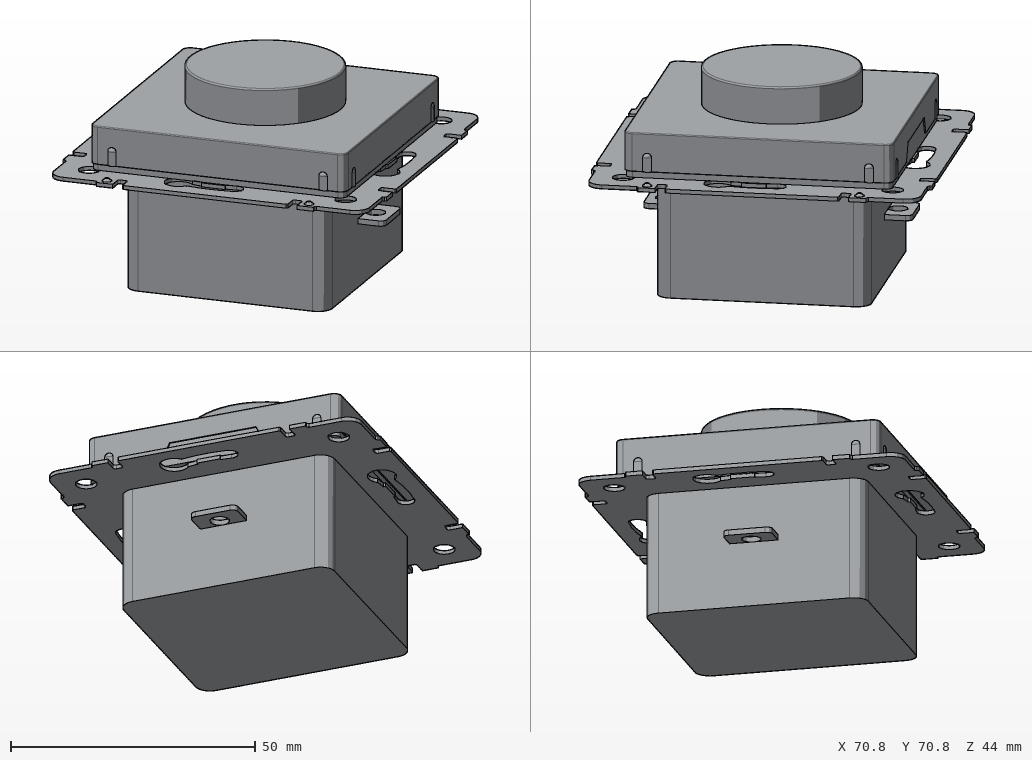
import cadquery as cq
import math

PLATE_BOTTOM = 25.7
PLATE_THICKNESS = 0.85
PLATE_TOP = PLATE_BOTTOM + PLATE_THICKNESS
COVER_BOTTOM = 27.9
COVER_TOP = 36.1
KNOB_TOP = 44.0

PLATE_HALF = 35.4
CORNER_HALF = 34.55
CORNER_RADIUS = 3.2
SHOULDER_POSITION = 24.15
SHOULDER_BEVEL = 0.4
NOTCH_POSITION = 19.1
NOTCH_WIDTH = 2.05
NOTCH_DEPTH = 3.25
NOTCH_RADIUS = 0.5
NOTCH_MOUTH_BEVEL = 0.3
CORNER_HOLE_POSITION = 28.05
CORNER_HOLE_RADIUS = 2.2

SLOT_MID_RADIUS = 29.75
SLOT_HALF_WIDTH = 1.85
SLOT_END_ANGLE = 8.2
KEYHOLE_X = 8.0
KEYHOLE_Y = 29.25
KEYHOLE_RADIUS = 3.0
STOP_OFFSET = 0.85
STOP_WIDTH = 5.2
STOP_REACH = 28.2

TIP_X = 22.1
TIP_Y = 33.55
TIP_BASE_RADIUS = 1.0
TIP_TOP_RADIUS = 0.35
TIP_HEIGHT = 0.6

COVER_WIDTH = 55.9
COVER_RADIUS = 1.8
COVER_EDGE_RADIUS = 0.2
SKIRT_INSET = 0.3
SKIRT_WIDTH = COVER_WIDTH - 2 * SKIRT_INSET
RECESS_TOP = 31.65
RECESS_BOTTOM_WIDTH = 22.95
RECESS_TOP_WIDTH = 19.1

RIB_POSITION = 23.1
RIB_WIDTH = 1.85
RIB_PROTRUSION = 0.3
RIB_SEAM = 30.95
RIB_RADIUS = ((RIB_WIDTH / 2) ** 2 + RIB_PROTRUSION ** 2) / (2 * RIB_PROTRUSION)

KNOB_RADIUS = 16.5
KNOB_EDGE_RADIUS = 0.35

BOX_X = 44.45
BOX_Y = 46.8
BOX_RADIUS = 3.2
CLAW_BOTTOM = 13.65
CLAW_THICKNESS = 1.1
CLAW_SPAN = 55.9
CLAW_WIDTH = 10.3
CLAW_RADIUS = 1.3
CLAW_HOLE_POSITION = 24.2
CLAW_HOLE_RADIUS = 2.0

QUARTER_TURNS = (0, 90, 180, 270)


def rounded_block(length, width, bottom, top, radius):
    """Upright block, centred on the Z axis, with rounded vertical edges."""
    block = cq.Workplane("XY", origin=(0, 0, bottom)).rect(length, width).extrude(top - bottom)
    return block.edges("|Z").fillet(radius)


def turned(shape, angle):
    """Shape turned about the Z axis."""
    return shape.rotate((0, 0, 0), (0, 0, 1), angle)


def plate_plane():
    return cq.Workplane("XY", origin=(0, 0, PLATE_BOTTOM))


def edge_strip():
    """Raised edge of one plate side, with bevelled shoulders."""
    foot = SHOULDER_POSITION
    crest = foot - SHOULDER_BEVEL
    bevel_top = CORNER_HALF + SHOULDER_BEVEL
    points = [
        (-crest, 0), (-crest, CORNER_HALF), (-foot, CORNER_HALF), (-crest, bevel_top), (-crest, PLATE_HALF),
        (crest, PLATE_HALF), (crest, bevel_top), (foot, CORNER_HALF), (crest, CORNER_HALF), (crest, 0),
    ]
    return plate_plane().polyline(points).close().extrude(PLATE_THICKNESS)


def edge_notch(side):
    """Notch in a plate edge; its mouth is bevelled towards the middle of the side."""
    notch = (
        plate_plane()
        .center(side * NOTCH_POSITION, PLATE_HALF)
        .rect(NOTCH_WIDTH, 2 * NOTCH_DEPTH)
        .extrude(PLATE_THICKNESS)
        .edges("|Z and <Y")
        .fillet(NOTCH_RADIUS)
    )
    wall = side * (NOTCH_POSITION - NOTCH_WIDTH / 2)
    bevel = (
        plate_plane()
        .moveTo(wall, PLATE_HALF - NOTCH_MOUTH_BEVEL)
        .lineTo(wall - side * NOTCH_MOUTH_BEVEL, PLATE_HALF)
        .lineTo(wall, PLATE_HALF)
        .close()
        .extrude(PLATE_THICKNESS)
    )
    return notch.union(bevel)


def keyhole_slot():
    """Arc slot with a small round end, a large round end and a flat stop on its inner edge."""
    start = math.radians(90 + SLOT_END_ANGLE)
    end = math.atan2(KEYHOLE_Y, KEYHOLE_X)
    middle = (start + end) / 2

    def on_arc(radius, angle):
        return radius * math.cos(angle), radius * math.sin(angle)

    outer = SLOT_MID_RADIUS + SLOT_HALF_WIDTH
    inner = SLOT_MID_RADIUS - SLOT_HALF_WIDTH
    arc = (
        plate_plane()
        .moveTo(*on_arc(outer, start))
        .threePointArc(on_arc(outer, middle), on_arc(outer, end))
        .lineTo(*on_arc(inner, end))
        .threePointArc(on_arc(inner, middle), on_arc(inner, start))
        .close()
        .extrude(PLATE_THICKNESS)
    )
    small_end = plate_plane().center(*on_arc(SLOT_MID_RADIUS, start)).circle(SLOT_HALF_WIDTH)
    large_end = plate_plane().center(KEYHOLE_X, KEYHOLE_Y).circle(KEYHOLE_RADIUS)
    stop = plate_plane().center(STOP_OFFSET, STOP_REACH / 2).rect(STOP_WIDTH, STOP_REACH)
    slot = arc.union(small_end.extrude(PLATE_THICKNESS)).union(large_end.extrude(PLATE_THICKNESS))
    return slot.cut(stop.extrude(PLATE_THICKNESS))


def make_plate():
    plate = rounded_block(2 * CORNER_HALF, 2 * CORNER_HALF, PLATE_BOTTOM, PLATE_TOP, CORNER_RADIUS)
    for angle in QUARTER_TURNS:
        plate = plate.union(turned(edge_strip(), angle))
    for angle in QUARTER_TURNS:
        for side in (-1, 1):
            plate = plate.cut(turned(edge_notch(side), angle))
        plate = plate.cut(turned(keyhole_slot(), angle))
    corner_holes = (
        plate_plane()
        .rect(2 * CORNER_HOLE_POSITION, 2 * CORNER_HOLE_POSITION, forConstruction=True)
        .vertices()
        .circle(CORNER_HOLE_RADIUS)
        .extrude(PLATE_THICKNESS)
    )
    return plate.cut(corner_holes)


def screw_tips():
    cone = cq.Solid.makeCone(TIP_BASE_RADIUS, TIP_TOP_RADIUS, TIP_HEIGHT)
    return (
        cq.Workplane("XY", origin=(0, 0, PLATE_TOP))
        .rect(2 * TIP_X, 2 * TIP_Y, forConstruction=True)
        .vertices()
        .eachpoint(lambda place: cone.moved(place))
    )


def cover_rib(side):
    """Upright cylinder with a spherical top, sunk into a cover wall."""
    depth = COVER_WIDTH / 2 + RIB_PROTRUSION - RIB_RADIUS
    base = cq.Workplane("XY", origin=(side * RIB_POSITION, depth, COVER_BOTTOM))
    post = base.circle(RIB_RADIUS).extrude(RIB_SEAM - COVER_BOTTOM)
    dome = cq.Workplane("XY", origin=(side * RIB_POSITION, depth, RIB_SEAM)).sphere(RIB_RADIUS)
    above_cover_bottom = base.circle(2 * RIB_RADIUS).extrude(COVER_TOP - COVER_BOTTOM)
    return post.union(dome.intersect(above_cover_bottom))


def make_cover():
    cover = rounded_block(COVER_WIDTH, COVER_WIDTH, COVER_BOTTOM, COVER_TOP, COVER_RADIUS)
    cover = cover.faces(">Z").edges().fillet(COVER_EDGE_RADIUS)
    recess = (
        cq.Workplane("YZ", origin=(-COVER_WIDTH / 2, 0, 0))
        .polyline([
            (-RECESS_BOTTOM_WIDTH / 2, COVER_BOTTOM),
            (-RECESS_TOP_WIDTH / 2, RECESS_TOP),
            (RECESS_TOP_WIDTH / 2, RECESS_TOP),
            (RECESS_BOTTOM_WIDTH / 2, COVER_BOTTOM),
        ])
        .close()
        .extrude(SKIRT_INSET)
    )
    cover = cover.cut(recess)
    for angle in QUARTER_TURNS:
        for side in (-1, 1):
            cover = cover.union(turned(cover_rib(side), angle))
    skirt = rounded_block(SKIRT_WIDTH, SKIRT_WIDTH, PLATE_TOP, COVER_BOTTOM, COVER_RADIUS - SKIRT_INSET)
    return cover.union(skirt)


def make_knob():
    knob = cq.Workplane("XY", origin=(0, 0, COVER_TOP)).circle(KNOB_RADIUS).extrude(KNOB_TOP - COVER_TOP)
    return knob.faces(">Z").edges().fillet(KNOB_EDGE_RADIUS)


def make_claws():
    """One flat strip through the box, leaving a claw with a round hole on each side."""
    claws = rounded_block(CLAW_SPAN, CLAW_WIDTH, CLAW_BOTTOM, CLAW_BOTTOM + CLAW_THICKNESS, CLAW_RADIUS)
    holes = (
        cq.Workplane("XY", origin=(0, 0, CLAW_BOTTOM))
        .pushPoints([(-CLAW_HOLE_POSITION, 0), (CLAW_HOLE_POSITION, 0)])
        .circle(CLAW_HOLE_RADIUS)
        .extrude(CLAW_THICKNESS)
    )
    return claws.cut(holes)


box = rounded_block(BOX_X, BOX_Y, 0, PLATE_BOTTOM, BOX_RADIUS)

result = (
    box.union(make_claws())
    .union(make_plate())
    .union(screw_tips())
    .union(make_cover())
    .union(make_knob())
)